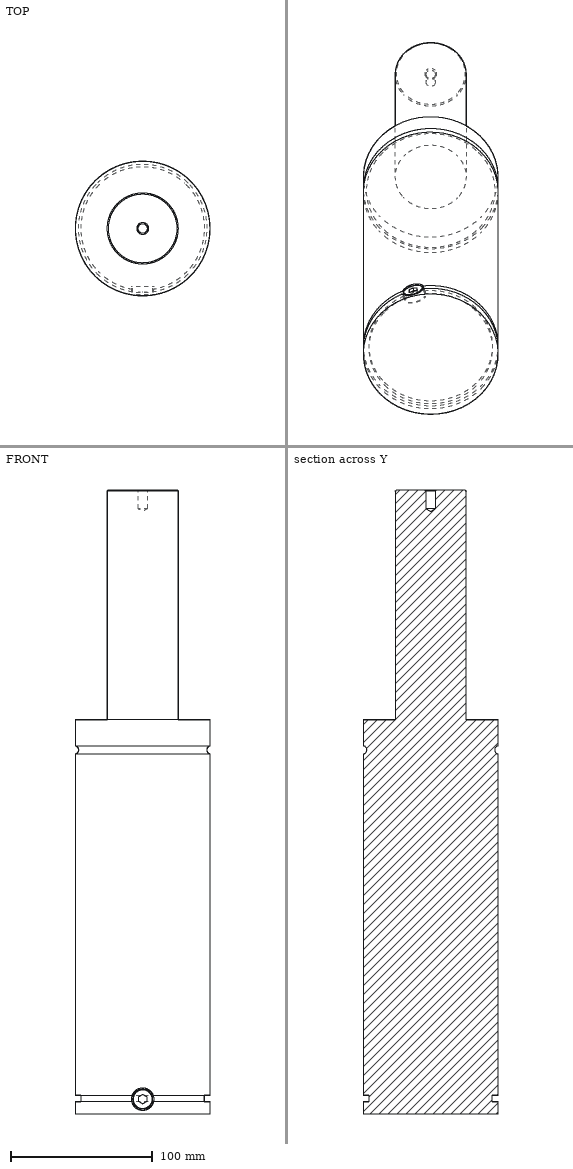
import cadquery as cq
import math

total_height = 440.0
body_diameter = 95.0
body_height = 278.0
rod_diameter = 50.0
rod_chamfer = 1.0

cap_height = 18.5
round_groove_width = 5.5
round_groove_depth = 2.0

base_height = 9.0
clamp_groove_width = 4.5
clamp_groove_depth = 4.0

rod_hole_diameter = 6.5
rod_hole_depth = 13.0
rod_hole_chamfer = 1.0
drill_point_angle = 118.0

port_height = 10.5
port_diameter = 16.0
plug_diameter = 14.0
port_depth = 6.5
plug_recess = 0.5
plug_chamfer = 0.5
socket_corner_diameter = 6.5
socket_depth = 2.0

body_radius = body_diameter / 2


def cylinder(diameter, bottom, height):
    return cq.Workplane("XY").workplane(offset=bottom).circle(diameter / 2).extrude(height)


def port_cylinder(diameter, outer_distance, inner_distance):
    """Cylinder along Y on the port axis, spanning two distances from the body axis."""
    plane = cq.Workplane("XZ", origin=(0, -inner_distance, port_height))
    return plane.circle(diameter / 2).extrude(outer_distance - inner_distance)


def make_body():
    body = cylinder(body_diameter, 0, body_height)
    rod = cylinder(rod_diameter, body_height, total_height - body_height)
    return body.union(rod.faces(">Z").chamfer(rod_chamfer))


def round_groove():
    """Ring with an arc-shaped section that bites into the body surface."""
    top = body_height - cap_height
    bottom = top - round_groove_width
    section = (
        cq.Workplane("XZ")
        .moveTo(body_radius, top)
        .threePointArc(
            (body_radius - round_groove_depth, (top + bottom) / 2),
            (body_radius, bottom),
        )
        .close()
    )
    return section.revolve(360, (0, 0), (0, 1))


def clamp_groove():
    outer = cylinder(body_diameter, base_height, clamp_groove_width)
    return outer.cut(cylinder(body_diameter - 2 * clamp_groove_depth, base_height, clamp_groove_width))


def rod_hole():
    """Drilled hole with a conical bottom and a chamfered mouth."""
    radius = rod_hole_diameter / 2
    point_length = radius / math.tan(math.radians(drill_point_angle / 2))
    bottom = total_height - rod_hole_depth
    profile = cq.Workplane("XZ").polyline([
        (0, bottom - point_length),
        (radius, bottom),
        (radius, total_height - rod_hole_chamfer),
        (radius + rod_hole_chamfer, total_height),
        (0, total_height),
    ]).close()
    return profile.revolve(360, (0, 0), (0, 1))


def add_port(part):
    port_floor = body_radius - port_depth
    plug_face = body_radius - plug_recess
    part = part.cut(port_cylinder(port_diameter, body_radius, port_floor))
    plug = port_cylinder(plug_diameter, plug_face, port_floor).faces("<Y").chamfer(plug_chamfer)
    socket_floor = plug_face - socket_depth
    socket = (
        cq.Workplane("XZ", origin=(0, -socket_floor, port_height))
        .transformed(rotate=(0, 0, 90))
        .polygon(6, socket_corner_diameter)
        .extrude(socket_depth)
    )
    return part.union(plug).cut(socket)


result = make_body().cut(round_groove()).cut(clamp_groove()).cut(rod_hole())
result = add_port(result)